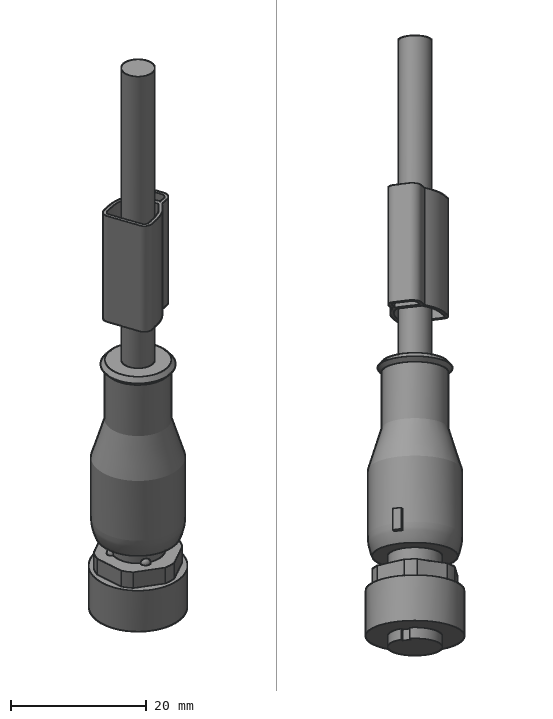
import cadquery as cq
import math

total_height = 94.0
cable_diameter = 5.0

core_radius = 4.0
nut_diameter = 14.6
nut_bottom = 1.7
nut_top = 8.7
hex_top = 11.5
hex_across_flats = 12.2
hex_corner_radius = 6.6
detent_radius = 0.75
detent_count = 4

key_width = 1.3
key_depth = 0.6

boot_bottom = 14.1
boot_bottom_radius = 6.3
boot_curve_top = 17.1
boot_radius = 7.0
shoulder_bottom = 27.4
shoulder_top = 33.8
neck_diameter = 9.9
collar_bottom = 42.6
collar_widest = 43.2
boot_top = 44.0
collar_radius = 5.5
collar_top_radius = 4.9

mark_bottom = 15.9
mark_top = 19.2
mark_width = 1.3
mark_reach = 7.6

sleeve_bottom = 51.9
sleeve_top = 70.0
sleeve_wall = 0.6
grip_end = 4.3
grip_half_width = 4.0
grip_corner_radius = 1.3
waist_arc_start = 1.6
waist_end = -2.7
pocket_end = -5.6
pocket_half_width = 2.5
pocket_corner_radius = 1.4
divider_inner = -2.4
divider_outer = -3.2

feature_angle = -45.0


def turn_to_feature_axis(solid):
    return solid.rotate((0, 0, 0), (0, 0, 1), feature_angle)


def cylinder(radius, bottom, top):
    return cq.Workplane("XY").workplane(offset=bottom).circle(radius).extrude(top - bottom)


def make_boot():
    return (
        cq.Workplane("XZ")
        .moveTo(0, boot_top)
        .lineTo(collar_top_radius, boot_top)
        .lineTo(collar_radius, collar_widest)
        .lineTo(neck_diameter / 2, collar_bottom)
        .lineTo(neck_diameter / 2, shoulder_top)
        .lineTo(boot_radius, shoulder_bottom)
        .lineTo(boot_radius, boot_curve_top)
        .tangentArcPoint((boot_bottom_radius, boot_bottom), relative=False)
        .lineTo(0, boot_bottom)
        .close()
        .revolve(360, (0, 0, 0), (0, 1, 0))
    )


def make_boot_mark():
    mark = (
        cq.Workplane("XY")
        .box(mark_reach, mark_width, mark_top - mark_bottom, centered=(False, True, False))
        .translate((-mark_reach, 0, mark_bottom))
    )
    return turn_to_feature_axis(mark)


def make_core():
    core = cylinder(core_radius, 0, boot_bottom)
    slot = (
        cq.Workplane("XY")
        .box(2 * key_depth, key_width, nut_bottom, centered=(True, True, False))
        .translate((-core_radius, 0, 0))
    )
    return core.cut(turn_to_feature_axis(slot))


def make_nut():
    ring = cylinder(nut_diameter / 2, nut_bottom, nut_top)
    hexagon = (
        cq.Workplane("XY")
        .workplane(offset=nut_top)
        .polygon(6, hex_across_flats, circumscribed=True)
        .extrude(hex_top - nut_top)
    )
    nut = ring.union(hexagon.intersect(cylinder(hex_corner_radius, nut_top, hex_top)))
    detents = (
        cq.Workplane("XY")
        .workplane(offset=hex_top)
        .polarArray(core_radius, 0, 360, detent_count)
        .sphere(detent_radius)
    )
    return nut.union(detents)


def waist_arc_radius():
    run = waist_arc_start - waist_end
    rise = grip_half_width - pocket_half_width
    return (run ** 2 + rise ** 2) / (2 * rise)


def sleeve_outline():
    radius = waist_arc_radius()
    middle_along = (waist_arc_start + waist_end) / 2
    drop = radius - math.sqrt(radius ** 2 - (waist_arc_start - middle_along) ** 2)
    middle_across = grip_half_width - drop
    return (
        cq.Workplane("XY")
        .workplane(offset=sleeve_bottom)
        .moveTo(grip_end, -grip_half_width)
        .lineTo(grip_end, grip_half_width)
        .lineTo(waist_arc_start, grip_half_width)
        .threePointArc((middle_along, middle_across), (waist_end, pocket_half_width))
        .lineTo(pocket_end, pocket_half_width)
        .lineTo(pocket_end, -pocket_half_width)
        .lineTo(waist_end, -pocket_half_width)
        .threePointArc((middle_along, -middle_across), (waist_arc_start, -grip_half_width))
        .close()
    )


def make_sleeve():
    length = sleeve_top - sleeve_bottom
    body = (
        sleeve_outline()
        .extrude(length)
        .edges("|Z and >X").fillet(grip_corner_radius)
        .edges("|Z and <X").fillet(pocket_corner_radius)
    )
    wall = body.faces("|Z").shell(-sleeve_wall)
    divider = (
        cq.Workplane("XY")
        .box(divider_inner - divider_outer, 2 * pocket_half_width, length, centered=(False, True, False))
        .translate((divider_outer, 0, sleeve_bottom))
    )
    return turn_to_feature_axis(wall.union(divider))


result = (
    cylinder(cable_diameter / 2, boot_bottom, total_height)
    .union(make_boot())
    .union(make_boot_mark())
    .union(make_core())
    .union(make_nut())
    .union(make_sleeve())
)